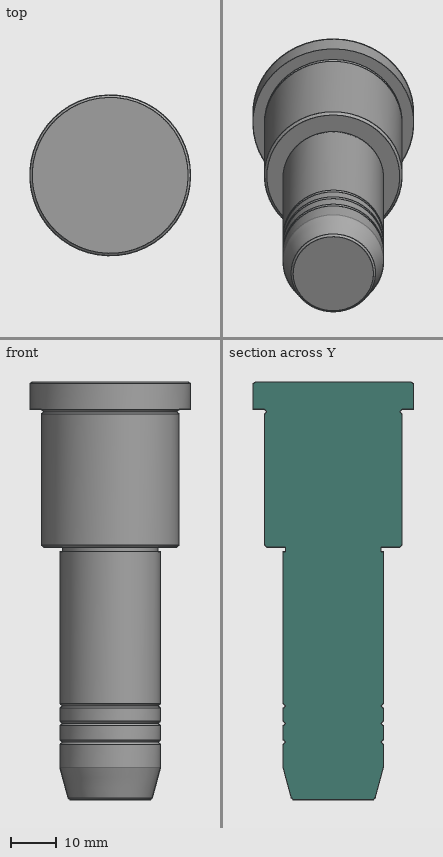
import cadquery as cq

total_length = 91.0
head_diameter = 35.0
head_thickness = 6.0
body_diameter = 30.0
body_bottom = 55.0
shank_diameter = 21.9

taper_length = 7.0
tip_diameter = 18.4

head_chamfer_width = 0.55
head_chamfer_height = 0.4
body_chamfer = 0.55
tip_chamfer_width = 0.5
tip_chamfer_height = 0.5

groove_depth = 0.5
shank_groove_heights = (12.6, 16.65, 20.5)
body_groove_height = total_length - head_thickness - groove_depth

undercut_height = 0.9
undercut_depth = 0.55


def ring_groove(diameter, height):
    """Ring cutter with a square section standing on its corner, centred on a cylinder surface."""
    surface = diameter / 2
    section = [
        (surface - groove_depth, height),
        (surface, height + groove_depth),
        (surface + groove_depth, height),
        (surface, height - groove_depth),
    ]
    return cq.Workplane("XZ").polyline(section).close().revolve(360, (0, 0), (0, 1))


def turned_blank():
    """Solid of revolution for the head, body, shank and tip."""
    head_radius = head_diameter / 2
    body_radius = body_diameter / 2
    shank_radius = shank_diameter / 2
    tip_radius = tip_diameter / 2
    head_bottom = total_length - head_thickness
    undercut_radius = shank_radius - undercut_depth
    undercut_bottom = body_bottom - undercut_height
    half_profile = [
        (0, 0),
        (tip_radius - tip_chamfer_width, 0),
        (tip_radius, tip_chamfer_height),
        (shank_radius, taper_length),
        (shank_radius, undercut_bottom),
        (undercut_radius, undercut_bottom),
        (undercut_radius, body_bottom),
        (body_radius - body_chamfer, body_bottom),
        (body_radius, body_bottom + body_chamfer),
        (body_radius, head_bottom),
        (head_radius, head_bottom),
        (head_radius, total_length - head_chamfer_height),
        (head_radius - head_chamfer_width, total_length),
        (0, total_length),
    ]
    return cq.Workplane("XZ").polyline(half_profile).close().revolve(360, (0, 0), (0, 1))


result = turned_blank().cut(ring_groove(body_diameter, body_groove_height))
for groove_height in shank_groove_heights:
    result = result.cut(ring_groove(shank_diameter, groove_height))